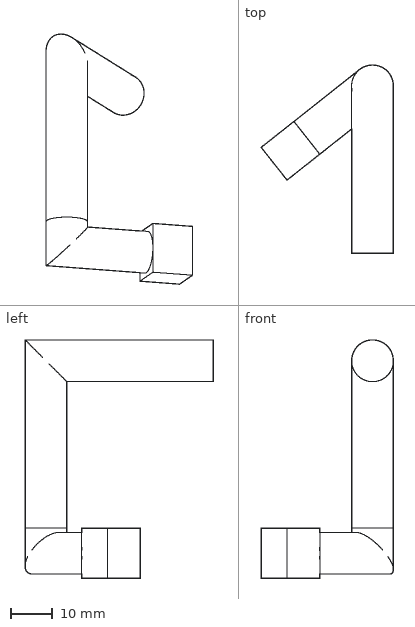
import cadquery as cq

rod_diameter = 10.0

block_length = 10.0
block_width = rod_diameter
block_height = 12.0
arm_reach = 30.0
arm_angle = 38.35

grip_axis_height = 52.0
grip_length = 40.0

arm_axis_height = block_height / 2
joint_height = block_height


def mitred_rod(start_plane, corner, end):
    """Round rod from the plane's origin to a mitred corner and on to the end point."""
    path = cq.Workplane("XY").polyline([start_plane.origin.toTuple(), corner, end])
    return cq.Workplane(start_plane).circle(rod_diameter / 2).sweep(path, transition="right")


def make_crank_base():
    """Block, arm and upward stub, laid out along -X and then turned about the upright's axis."""
    block = cq.Workplane("XY").box(
        block_length, block_width, block_height, centered=(False, True, False)
    ).translate((-arm_reach, 0, 0))
    arm_start = (block_length - arm_reach, 0, arm_axis_height)
    arm = mitred_rod(
        cq.Plane(origin=arm_start, xDir=(0, 0, 1), normal=(1, 0, 0)),
        (0, 0, arm_axis_height),
        (0, 0, joint_height),
    )
    return block.union(arm).rotate((0, 0, 0), (0, 0, 1), arm_angle).solids()


def make_handle():
    """Upright on the stub, turning at the top into a grip that points along -Y."""
    return mitred_rod(
        cq.Plane(origin=(0, 0, joint_height), xDir=(-1, 0, 0), normal=(0, 0, 1)),
        (0, 0, grip_axis_height),
        (0, -grip_length, grip_axis_height),
    )


crank_base = make_crank_base()
handle = make_handle()

result = cq.Compound.makeCompound([crank_base.val(), handle.val()])